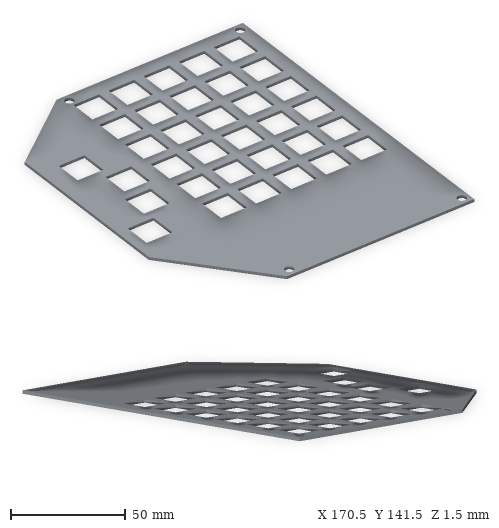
import cadquery as cq

LENGTH = 170.5
WIDTH = 141.5
THICKNESS = 1.5
TOP_EDGE_DROP = 0.5
SIDE_BOTTOM = 39.9
BOTTOM_EDGE_LEFT = 30.9
BOTTOM_EDGE_RIGHT = 122.6

KEY_SIZE = 14.0
COLUMNS = 6
ROWS = 5
COLUMN_SPAN = 95.2
PITCH = COLUMN_SPAN / (COLUMNS - 1)
FIRST_COLUMN_X = 14.7
BOTTOM_ROW_Y = 50.5

FIRST_THUMB_X = 49.1
THUMB_HEIGHTS = [17.2, 28.6, 25.2, 12.8]

SCREW_DIAMETER = 4.5
SCREW_INSET = 4.0
LOWER_SCREW_Y = 44.0
UPPER_LEFT_SCREW_Y = 136.8
UPPER_RIGHT_SCREW_Y = 137.6


def plate():
    outline = [
        (0, SIDE_BOTTOM),
        (BOTTOM_EDGE_LEFT, 0),
        (BOTTOM_EDGE_RIGHT, 0),
        (LENGTH, SIDE_BOTTOM),
        (LENGTH, WIDTH),
        (0, WIDTH - TOP_EDGE_DROP),
    ]
    return cq.Workplane("XY").polyline(outline).close().extrude(THICKNESS)


def key_centres():
    grid = [
        (FIRST_COLUMN_X + column * PITCH, BOTTOM_ROW_Y + row * PITCH)
        for column in range(COLUMNS)
        for row in range(ROWS)
    ]
    thumbs = [
        (FIRST_THUMB_X + index * PITCH, height)
        for index, height in enumerate(THUMB_HEIGHTS)
    ]
    return grid + thumbs


def key_cutouts():
    keys = cq.Workplane("XY").pushPoints(key_centres())
    return keys.rect(KEY_SIZE, KEY_SIZE).extrude(THICKNESS)


def screw_holes():
    left_x = SCREW_INSET
    right_x = LENGTH - SCREW_INSET
    centres = [
        (left_x, LOWER_SCREW_Y),
        (right_x, LOWER_SCREW_Y),
        (left_x, UPPER_LEFT_SCREW_Y),
        (right_x, UPPER_RIGHT_SCREW_Y),
    ]
    holes = cq.Workplane("XY").pushPoints(centres)
    return holes.circle(SCREW_DIAMETER / 2).extrude(THICKNESS)


result = plate().cut(key_cutouts()).cut(screw_holes())